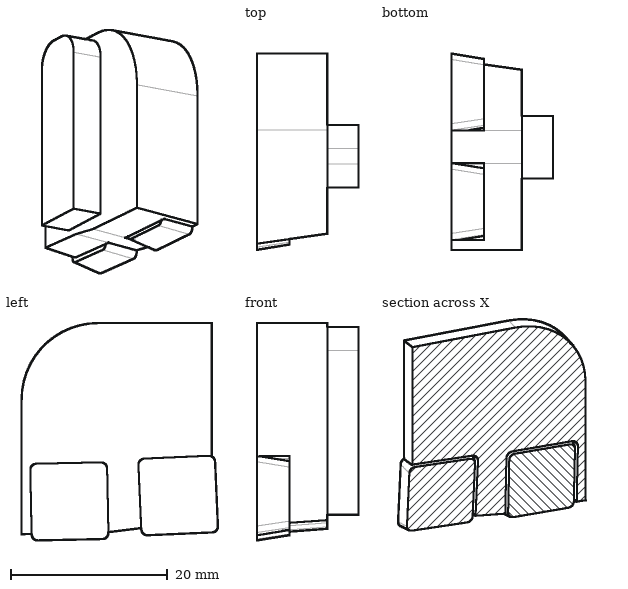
import cadquery as cq
import math


plate_thickness = 9.0
plate_length = 24.3
plate_height = 27.0
corner_radius = 9.79
front_relief_angle = 8.0
bottom_relief_angle = 4.4
step_rear_y = 13.25
step_rear_z = -26.75
step_front_y = 9.04
step_front_z = -26.22

stud_depth = 4.0
stud_width = 8.0
stud_radius = 3.0
stud_length = 24.02
stud_center_y = 11.18
stud_top_z = -0.5

insert_side = 9.8
insert_depth = 4.2
insert_radius = 0.8
insert_relief_angle = 9.0
rear_tilt = 1.2
front_tilt = 2.5
insert_places = [
    (18.18, -22.8, rear_tilt),
    (4.28, -22.05, front_tilt),
]


def plate_outline(x):
    """Closed plate outline at depth x, with its front and bottom relieved."""
    front_y = x * math.tan(math.radians(front_relief_angle))
    lift = x * math.tan(math.radians(bottom_relief_angle))
    front_rise = (step_front_y - front_y) * math.tan(math.radians(front_tilt))
    arc_middle = corner_radius * (1 - math.sqrt(0.5))
    sketch = (
        cq.Workplane("YZ", origin=(x, 0, 0))
        .moveTo(front_y, 0)
        .lineTo(plate_length - corner_radius, 0)
        .threePointArc((plate_length - arc_middle, -arc_middle), (plate_length, -corner_radius))
        .lineTo(plate_length, -plate_height + lift)
        .lineTo(step_rear_y, step_rear_z + lift)
        .lineTo(step_front_y, step_front_z + lift)
        .lineTo(front_y, step_front_z + lift + front_rise)
        .close()
    )
    return sketch.val()


def make_stud():
    """Upright stud, rounded at its upper end and square at its lower end."""
    return (
        cq.Workplane("YZ", origin=(plate_thickness, stud_center_y, stud_top_z - stud_length / 2))
        .rect(stud_width, stud_length)
        .extrude(stud_depth)
        .edges("|X and >Z")
        .fillet(stud_radius)
    )


def rounded_square(center_y, center_z, tilt, taper):
    """Tilted square block with rounded corners, narrowing along X by the taper angle."""
    block = (
        cq.Workplane("YZ")
        .rect(insert_side, insert_side)
        .extrude(insert_depth, taper=taper)
        .edges("not(#X)")
        .fillet(insert_radius)
    )
    return block.rotate((0, 0, 0), (1, 0, 0), -tilt).translate((0, center_y, center_z))


def make_holder():
    """Plate and stud with a straight-walled pocket for each insert."""
    outlines = [plate_outline(0), plate_outline(plate_thickness)]
    holder = cq.Workplane(cq.Solid.makeLoft(outlines, True)).union(make_stud())
    for center_y, center_z, tilt in insert_places:
        holder = holder.cut(rounded_square(center_y, center_z, tilt, 0))
    return holder


def make_insert(center_y, center_z, tilt):
    """Cutting insert with relieved sides."""
    return rounded_square(center_y, center_z, tilt, insert_relief_angle)


holder = make_holder()
inserts = [make_insert(*place) for place in insert_places]

solids = [*holder.solids().vals()]
for insert in inserts:
    solids.extend(insert.solids().vals())

result = cq.Compound.makeCompound(solids)